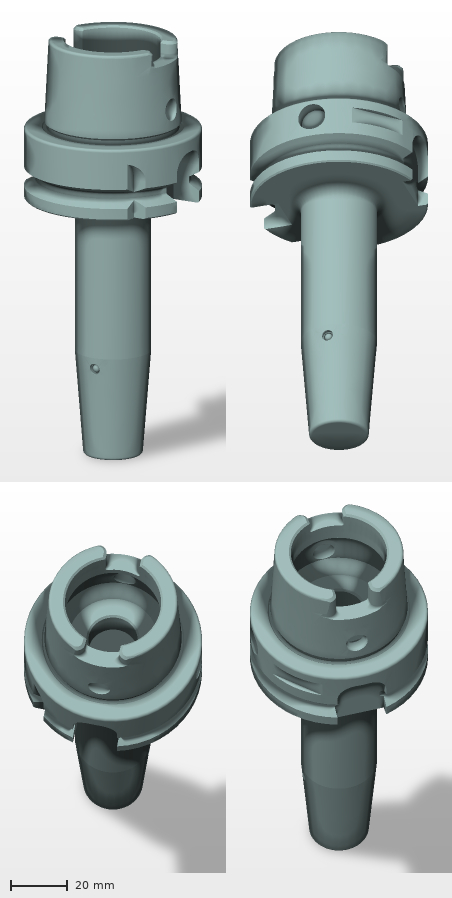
import cadquery as cq
import math


TAPER_TOP_Z = 32.0
TAPER_GAUGE_Z = 6.3
TAPER_GAUGE_RADIUS = 24.05
TAPER_SLOPE = 1 / 20
TAPER_RIM_FILLET = 1.0

RELIEF_TOP_Z = 2.0
RELIEF_RADIUS = 23.5
RELIEF_OUTER_RADIUS = 25.2
RELIEF_DEPTH = 0.4
RELIEF_HEIGHT = 0.7

FLANGE_RADIUS = 31.5
FLANGE_HEIGHT = 26.0
FLANGE_TOP_FILLET = 1.0
FLANGE_BOTTOM_CHAMFER = 0.5
GROOVE_RADIUS = 27.5
GROOVE_CENTER_Z = -18.1
GROOVE_MOUTH_WIDTH = 7.0
GROOVE_FLANK_ANGLE = 30.0
GROOVE_CORNER_FILLET = 0.6

NECK_RADIUS = 13.5
NECK_FILLET = 3.0
CONE_TOP_Z = -82.0
NOSE_BOTTOM_Z = -120.0
NOSE_RADIUS = 10.5
NOSE_FILLET = 1.0

MOUTH_RADIUS = 17.0
MOUTH_CHAMFER = 0.7
MOUTH_DEPTH = 12.5
CHAMBER_RADIUS = 20.0
CHAMBER_SHOULDER_ANGLE = 60.0
CHAMBER_DEPTH = 27.0
SEAT_RADIUS = 15.7
SEAT_DEPTH = CHAMBER_DEPTH + CHAMBER_RADIUS - SEAT_RADIUS
PILOT_RADIUS = 8.7
PILOT_CHAMFER = 0.7
PILOT_DEPTH = 42.0

SLOT_HALF_WIDTH = 6.2
SLOT_CORNER_RADIUS = 3.0
SLOT_TIP_X = 20.9
SLOT_RUN_OUT = 8.0
SLOT_FLOOR_FILLET = 1.0
SLOT_RIM_CHAMFER = 1.0
SLOT_DEPTH_LEFT = 9.8
SLOT_DEPTH_RIGHT = 5.8

CROSS_HOLE_RADIUS = 4.0
CROSS_HOLE_Z = 9.3

KEYWAY_LEFT_WIDTH = 18.0
KEYWAY_LEFT_FLOOR = 26.5
KEYWAY_RIGHT_WIDTH = 16.0
KEYWAY_RIGHT_FLOOR = 20.0
KEYWAY_TOP_Z = -5.0
KEYWAY_CORNER_RADIUS = 7.0

NOTCH_OFFSET = 19.8
LABEL_FLAT_DISTANCE = 29.85
LABEL_FLAT_TOP_Z = -4.0
LABEL_FLAT_HEIGHT = 6.0

CARRIER_HOLE_RADIUS = 5.0
CARRIER_HOLE_DEPTH = 4.6
CARRIER_HOLE_Z = LABEL_FLAT_TOP_Z - LABEL_FLAT_HEIGHT / 2

BALL_RADIUS = 1.6
BALL_Z = -86.1
BALL_CENTER_Y = 11.2
BALL_MOUTH_RADIUS = 2.0
BALL_MOUTH_FLOOR_Y = 12.0

FAR = 2 * FLANGE_RADIUS


def taper_radius(z):
    return TAPER_GAUGE_RADIUS - (z - TAPER_GAUGE_Z) * TAPER_SLOPE


def turned_blank():
    flank_height = (FLANGE_RADIUS - GROOVE_RADIUS) * math.tan(math.radians(GROOVE_FLANK_ANGLE))
    mouth_top = GROOVE_CENTER_Z + GROOVE_MOUTH_WIDTH / 2
    mouth_bottom = GROOVE_CENTER_Z - GROOVE_MOUTH_WIDTH / 2
    profile = (
        cq.Workplane("XZ")
        .moveTo(0, TAPER_TOP_Z)
        .lineTo(taper_radius(TAPER_TOP_Z), TAPER_TOP_Z)
        .lineTo(taper_radius(RELIEF_TOP_Z), RELIEF_TOP_Z)
        .lineTo(RELIEF_RADIUS, RELIEF_TOP_Z - RELIEF_HEIGHT)
        .lineTo(RELIEF_RADIUS, -RELIEF_DEPTH)
        .lineTo(RELIEF_OUTER_RADIUS - RELIEF_DEPTH, -RELIEF_DEPTH)
        .lineTo(RELIEF_OUTER_RADIUS, 0)
        .lineTo(FLANGE_RADIUS - FLANGE_TOP_FILLET, 0)
        .radiusArc((FLANGE_RADIUS, -FLANGE_TOP_FILLET), FLANGE_TOP_FILLET)
        .lineTo(FLANGE_RADIUS, mouth_top)
        .lineTo(GROOVE_RADIUS, mouth_top - flank_height)
        .lineTo(GROOVE_RADIUS, mouth_bottom + flank_height)
        .lineTo(FLANGE_RADIUS, mouth_bottom)
        .lineTo(FLANGE_RADIUS, FLANGE_BOTTOM_CHAMFER - FLANGE_HEIGHT)
        .lineTo(FLANGE_RADIUS - FLANGE_BOTTOM_CHAMFER, -FLANGE_HEIGHT)
        .lineTo(NECK_RADIUS + NECK_FILLET, -FLANGE_HEIGHT)
        .radiusArc((NECK_RADIUS, -FLANGE_HEIGHT - NECK_FILLET), -NECK_FILLET)
        .lineTo(NECK_RADIUS, CONE_TOP_Z)
        .lineTo(NOSE_RADIUS, NOSE_BOTTOM_Z)
        .lineTo(0, NOSE_BOTTOM_Z)
        .close()
    )
    blank = profile.revolve(360, (0, 0, 0), (0, 1, 0))
    groove_floor = cq.selectors.BoxSelector(
        (-FAR, -FAR, mouth_bottom + flank_height / 2),
        (FAR, FAR, mouth_top - flank_height / 2),
    )
    blank = blank.edges(groove_floor).edges("%CIRCLE").fillet(GROOVE_CORNER_FILLET)
    blank = blank.faces("<Z").edges().fillet(NOSE_FILLET)
    return blank.faces(">Z").edges().fillet(TAPER_RIM_FILLET)


def clamping_bore():
    top = TAPER_TOP_Z
    shoulder = (CHAMBER_RADIUS - MOUTH_RADIUS) / math.tan(math.radians(CHAMBER_SHOULDER_ANGLE))
    profile = cq.Workplane("XZ").polyline([
        (0, top),
        (MOUTH_RADIUS + MOUTH_CHAMFER, top),
        (MOUTH_RADIUS, top - MOUTH_CHAMFER),
        (MOUTH_RADIUS, top - MOUTH_DEPTH),
        (CHAMBER_RADIUS, top - MOUTH_DEPTH - shoulder),
        (CHAMBER_RADIUS, top - CHAMBER_DEPTH),
        (SEAT_RADIUS, top - SEAT_DEPTH),
        (PILOT_RADIUS + PILOT_CHAMFER, top - SEAT_DEPTH),
        (PILOT_RADIUS, top - SEAT_DEPTH - PILOT_CHAMFER),
        (PILOT_RADIUS, top - PILOT_DEPTH),
        (0, top - PILOT_DEPTH),
    ]).close()
    return profile.revolve(360, (0, 0, 0), (0, 1, 0))


def slot_outline(base_z):
    """Slot opening outward: straight walls, a round at each wall end, then a tangent run-out.

    Each run-out is square to the radial line through the centre of its round.
    """
    inner_x = MOUTH_RADIUS / 2
    outer_x = 2 * TAPER_GAUGE_RADIUS
    round_x = SLOT_TIP_X - SLOT_CORNER_RADIUS
    round_y = SLOT_HALF_WIDTH + SLOT_CORNER_RADIUS
    angle = math.atan2(round_y, round_x)
    round_end = (
        round_x + SLOT_CORNER_RADIUS * math.cos(angle),
        round_y + SLOT_CORNER_RADIUS * math.sin(angle),
    )
    run_out = (
        round_end[0] - SLOT_RUN_OUT * math.sin(angle),
        round_end[1] + SLOT_RUN_OUT * math.cos(angle),
    )
    return (
        cq.Workplane("XY", origin=(0, 0, base_z))
        .moveTo(inner_x, -SLOT_HALF_WIDTH)
        .lineTo(round_x, -SLOT_HALF_WIDTH)
        .threePointArc((SLOT_TIP_X, -round_y), (round_end[0], -round_end[1]))
        .lineTo(run_out[0], -run_out[1])
        .lineTo(outer_x, -run_out[1])
        .lineTo(outer_x, run_out[1])
        .lineTo(*run_out)
        .lineTo(*round_end)
        .threePointArc((SLOT_TIP_X, round_y), (round_x, SLOT_HALF_WIDTH))
        .lineTo(inner_x, SLOT_HALF_WIDTH)
        .close()
    )


def drive_slot(side, depth):
    """Cutter for one end slot: filleted floor, and edges chamfered at the rim."""
    walls = slot_outline(TAPER_TOP_Z - depth).extrude(depth)
    walls = walls.faces("<Z").edges().fillet(SLOT_FLOOR_FILLET)
    flare = slot_outline(TAPER_TOP_Z - SLOT_RIM_CHAMFER).extrude(SLOT_RIM_CHAMFER, taper=-45)
    cutter = walls.union(flare)
    return cutter if side > 0 else cutter.mirror("YZ")


def keyway(center_y, width, floor_x):
    """Cutter beyond floor_x along +X, open at the flange bottom, with rounded upper corners."""
    height = KEYWAY_TOP_Z + FLANGE_HEIGHT
    return (
        cq.Workplane("XY")
        .box(FAR, width, height, centered=(False, True, False))
        .edges("|X and >Z").fillet(KEYWAY_CORNER_RADIUS)
        .translate((floor_x, center_y, -FLANGE_HEIGHT))
    )


def label_flat():
    """Cutter for the flat-floored pocket at 135 degrees on the flange rim."""
    cutter = cq.Workplane("XY").box(FAR, FAR, LABEL_FLAT_HEIGHT, centered=(False, True, False))
    cutter = cutter.translate((LABEL_FLAT_DISTANCE, 0, LABEL_FLAT_TOP_Z - LABEL_FLAT_HEIGHT))
    return cutter.rotate((0, 0, 0), (0, 0, 1), 135)


def ball(side):
    return cq.Workplane("XY").sphere(BALL_RADIUS).translate((0, side * BALL_CENTER_Y, BALL_Z))


def radial_hole(side, radius, floor_y):
    """Hole along Y at the ball height, from floor_y out through the nose surface."""
    start = cq.Workplane("XZ", origin=(0, side * floor_y, BALL_Z))
    return start.circle(radius).extrude(-side * NECK_RADIUS)


def ball_pocket(side):
    """Round-bottomed hole that holds a ball, with a wider mouth."""
    seat = radial_hole(side, BALL_RADIUS, BALL_CENTER_Y)
    mouth = radial_hole(side, BALL_MOUTH_RADIUS, BALL_MOUTH_FLOOR_Y)
    return seat.union(ball(side)).union(mouth)


chuck = turned_blank().cut(clamping_bore())
chuck = chuck.cut(drive_slot(-1, SLOT_DEPTH_LEFT)).cut(drive_slot(1, SLOT_DEPTH_RIGHT))

cross_hole = cq.Workplane("YZ", origin=(0, 0, CROSS_HOLE_Z)).circle(CROSS_HOLE_RADIUS).extrude(FAR, both=True)
chuck = chuck.cut(cross_hole)

carrier_hole = (
    cq.Workplane("XZ", origin=(0, FLANGE_RADIUS - CARRIER_HOLE_DEPTH, CARRIER_HOLE_Z))
    .circle(CARRIER_HOLE_RADIUS)
    .extrude(-FAR)
)
chuck = chuck.cut(carrier_hole)

left_keyway = keyway(0, KEYWAY_LEFT_WIDTH, KEYWAY_LEFT_FLOOR).mirror("YZ")
right_keyway = keyway(0, KEYWAY_RIGHT_WIDTH, KEYWAY_RIGHT_FLOOR)
corner_notch = keyway(-NOTCH_OFFSET - KEYWAY_RIGHT_WIDTH / 2, KEYWAY_RIGHT_WIDTH, NOTCH_OFFSET)
chuck = chuck.cut(left_keyway).cut(right_keyway).cut(corner_notch).cut(label_flat())

balls = []
for side in (-1, 1):
    chuck = chuck.cut(ball_pocket(side))
    balls.append(ball(side).val())

result = cq.Compound.makeCompound([chuck.val(), *balls])